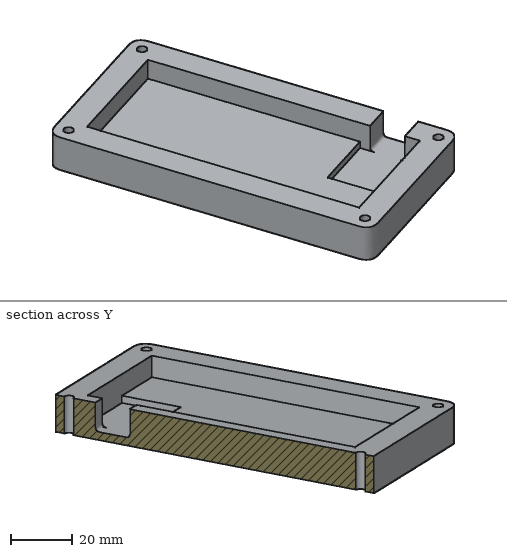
import cadquery as cq

LENGTH = 119.0
WIDTH = 62.0
HEIGHT = 13.0
CORNER_SETBACK = 5.0

WALL = 9.5
CAVITY_DEPTH = 7.5
CAVITY_LENGTH = LENGTH - 2 * WALL
CAVITY_WIDTH = WIDTH - 2 * WALL

RECESS_LENGTH = 22.0
RECESS_WIDTH = 23.0
RECESS_DEPTH = 10.0
RECESS_FLOOR = HEIGHT - RECESS_DEPTH

SLOT_CENTRE_X = 38.1
SLOT_WIDTH = 12.8
SLOT_SETBACK = 1.5

HOLE_DIAMETER = 3.4
HOLE_INSET = 5.0


def make_body():
    """Rectangular block whose corners are parabolas tangent to both sides."""
    x = LENGTH / 2
    y = WIDTH / 2
    inner_x = x - CORNER_SETBACK
    inner_y = y - CORNER_SETBACK
    outline = (
        cq.Workplane("XY")
        .moveTo(-inner_x, -y)
        .lineTo(inner_x, -y)
        .bezier([(x, -y), (x, -inner_y)], includeCurrent=True)
        .lineTo(x, inner_y)
        .bezier([(x, y), (inner_x, y)], includeCurrent=True)
        .lineTo(-inner_x, y)
        .bezier([(-x, y), (-x, inner_y)], includeCurrent=True)
        .lineTo(-x, -inner_y)
        .bezier([(-x, -y), (-inner_x, -y)], includeCurrent=True)
        .close()
    )
    return outline.extrude(HEIGHT)


def make_cavity():
    floor = cq.Workplane("XY").workplane(offset=HEIGHT - CAVITY_DEPTH)
    return floor.rect(CAVITY_LENGTH, CAVITY_WIDTH).extrude(CAVITY_DEPTH)


def make_recess():
    centre_x = (CAVITY_LENGTH - RECESS_LENGTH) / 2
    centre_y = (CAVITY_WIDTH - RECESS_WIDTH) / 2
    floor = cq.Workplane("XY").workplane(offset=RECESS_FLOOR)
    return floor.center(centre_x, centre_y).rect(RECESS_LENGTH, RECESS_WIDTH).extrude(RECESS_DEPTH)


def make_slot():
    """Slot across the +Y wall, its side walls blending into its floor along parabolas."""
    left = SLOT_CENTRE_X - SLOT_WIDTH / 2
    right = SLOT_CENTRE_X + SLOT_WIDTH / 2
    floor_left = left + SLOT_SETBACK
    floor_right = right - SLOT_SETBACK
    blend_top = RECESS_FLOOR + SLOT_SETBACK
    profile = (
        cq.Workplane("XZ", origin=(0, WIDTH / 2, 0))
        .moveTo(left, HEIGHT)
        .lineTo(left, blend_top)
        .bezier([(left, RECESS_FLOOR), (floor_left, RECESS_FLOOR)], includeCurrent=True)
        .lineTo(floor_right, RECESS_FLOOR)
        .bezier([(right, RECESS_FLOOR), (right, blend_top)], includeCurrent=True)
        .lineTo(right, HEIGHT)
        .close()
    )
    return profile.extrude(WALL)


def make_corner_holes():
    spacing_x = LENGTH - 2 * HOLE_INSET
    spacing_y = WIDTH - 2 * HOLE_INSET
    corners = cq.Workplane("XY").rect(spacing_x, spacing_y, forConstruction=True).vertices()
    return corners.circle(HOLE_DIAMETER / 2).extrude(HEIGHT)


result = (
    make_body()
    .cut(make_cavity())
    .cut(make_recess())
    .cut(make_slot())
    .cut(make_corner_holes())
)